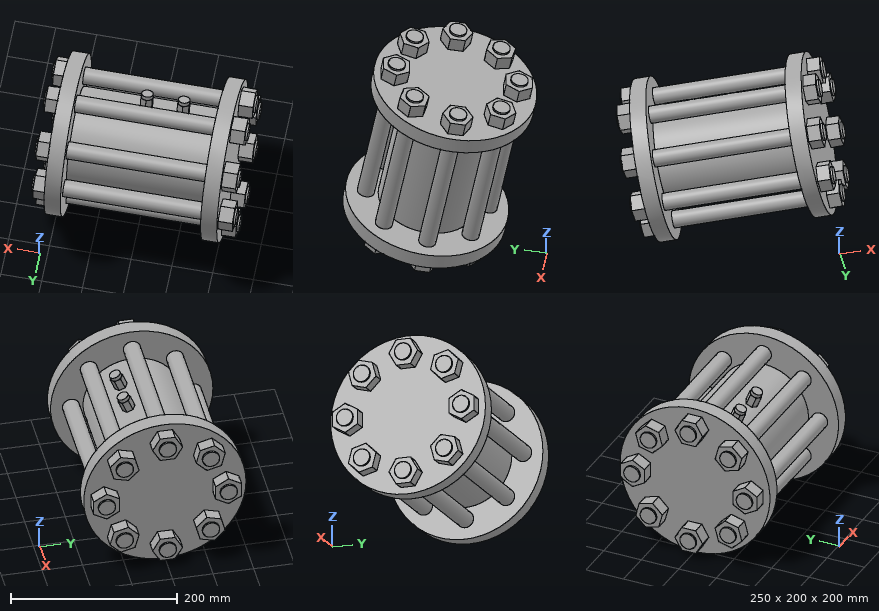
import cadquery as cq
import math

stud_length = 250.0
nut_span = 245.0

left_flange_face = -105.0
right_flange_face = 106.8
flange_thickness = 20.0
body_start = left_flange_face + flange_thickness
body_end = right_flange_face - flange_thickness

flange_diameter = 200.0
body_diameter = 120.0

hexagon_sides = 6

stud_count = 8
stud_spacing = 360 / stud_count
stud_diameter = 21.0
stud_circle_radius = 75.0
nut_across_flats = 32.0

port_positions = (-40.0, 5.0)
port_tilt = stud_spacing / 2
port_tip_radius = 80.0
port_tip_length = 5.0
port_width = 14.0


def disc(diameter, start_x, length):
    """Cylinder on the X axis, running from start_x toward +X."""
    return cq.Workplane("YZ").workplane(offset=start_x).circle(diameter / 2).extrude(length)


def hexagon_corner_diameter(across_flats):
    return across_flats / math.cos(math.pi / hexagon_sides)


def nut(start_x, end_x):
    """Hexagonal nut on the +Z side of the stud circle, with one flat facing outward."""
    return (
        cq.Workplane("YZ")
        .workplane(offset=start_x)
        .center(0, stud_circle_radius)
        .polygon(hexagon_sides, hexagon_corner_diameter(nut_across_flats))
        .extrude(end_x - start_x)
    )


def stud_with_nuts(angle):
    """Tie stud with a nut at each end, turned about the X axis to its place."""
    stud = disc(stud_diameter, -stud_length / 2, stud_length).translate((0, 0, stud_circle_radius))
    left_nut = nut(-nut_span / 2, left_flange_face)
    right_nut = nut(right_flange_face, nut_span / 2)
    return stud.union(left_nut).union(right_nut).rotate((0, 0, 0), (1, 0, 0), angle)


def port(x):
    """Hexagonal port with a round tip, rooted on the body axis and leaning toward -Y."""
    hexagon_end = port_tip_radius - port_tip_length
    hexagon = (
        cq.Workplane("XY")
        .polygon(hexagon_sides, hexagon_corner_diameter(port_width))
        .extrude(hexagon_end)
        .rotate((0, 0, 0), (0, 0, 1), 90)
    )
    tip = (
        cq.Workplane("XY")
        .workplane(offset=hexagon_end)
        .circle(port_width / 2)
        .extrude(port_tip_length)
    )
    return hexagon.union(tip).rotate((0, 0, 0), (1, 0, 0), port_tilt).translate((x, 0, 0))


result = disc(body_diameter, body_start, body_end - body_start)
for flange_start in (left_flange_face, body_end):
    result = result.union(disc(flange_diameter, flange_start, flange_thickness))

for stud_index in range(stud_count):
    result = result.union(stud_with_nuts(stud_index * stud_spacing))

for port_x in port_positions:
    result = result.union(port(port_x))